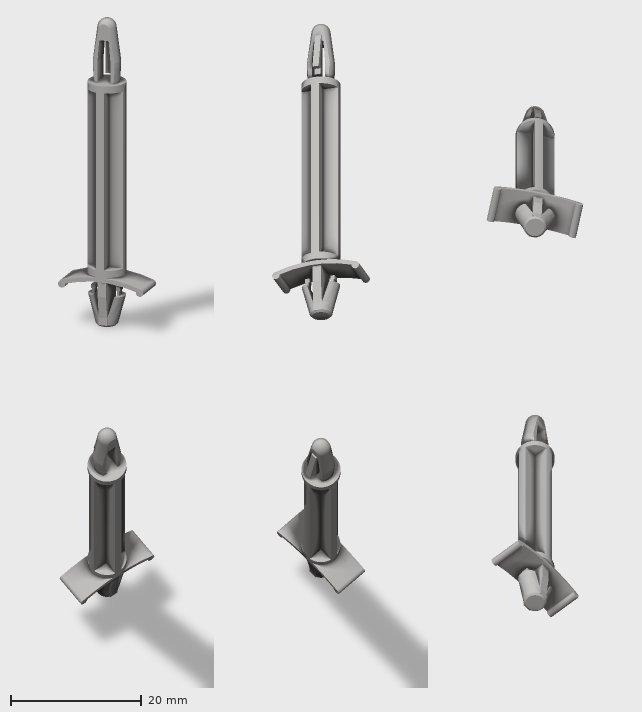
import cadquery as cq
import math

total_height = 49.5
collar_top = 39.3
body_bottom = 8.4
collar_height = 1.15

body_diameter = 6.0
rib_thickness = 1.3

plate_length = 14.0
plate_width = 5.5
plate_thickness = 0.7
plate_apex = 8.25
plate_radius = 19.8
bead_radius = 0.6
neck_diameter = 4.15

anchor_radius = 1.75
anchor_chamfer = 0.3
stem_thickness = 1.4
stem_half_width = 2.2
stem_taper_bottom = 1.55
barb_top = 5.0
barb_reach = 3.0
barb_inner_top = 1.85
tab_width = 1.15
tab_top = 6.4
tab_head_bottom = 5.75
tab_head_inner = 1.7
tab_head_outer = 2.4
tab_neck_outer = 2.25

dome_radius = 1.5
dome_height = 1.25
pin_half_depth = 1.3
pin_max_radius = 2.2
pin_base_radius = 2.05
pin_land_top = 42.7
pin_land_bottom = 41.85
slot_top = 46.15
slot_top_half_width = 0.8
slot_half_width = 1.065
slot_corner_radius = 0.25

latch_thickness = 1.0
latch_top = 47.02
latch_top_depth = 1.55
latch_tip = 41.25
latch_reach = 2.75
latch_bottom = 40.3
latch_foot_depth = 1.85
latch_inner = 0.75
latch_fillet_bottom = 44.95


def cylinder(radius, bottom, top):
    return cq.Workplane("XY").workplane(offset=bottom).circle(radius).extrude(top - bottom)


def box(x_size, y_size, bottom, top):
    return cq.Workplane("XY").workplane(offset=bottom).rect(x_size, y_size).extrude(top - bottom)


def make_body():
    """Round post reduced to a cross of ribs between two collars."""
    radius = body_diameter / 2
    ribs_along_x = box(body_diameter, rib_thickness, body_bottom, collar_top)
    ribs_along_y = box(rib_thickness, body_diameter, body_bottom, collar_top)
    post = cylinder(radius, body_bottom, collar_top).intersect(ribs_along_x.union(ribs_along_y))
    for bottom in (body_bottom, collar_top - collar_height):
        post = post.union(cylinder(radius, bottom, bottom + collar_height))
    return post


def make_plate():
    """Arched plate with a round bead along each end, and the neck above it."""
    center_z = plate_apex - plate_radius
    inner_radius = plate_radius - plate_thickness
    bead_x = plate_length / 2 - bead_radius
    end_angle = math.asin(bead_x / (plate_radius - bead_radius))

    def arc_point(radius, angle):
        return (radius * math.sin(angle), center_z + radius * math.cos(angle))

    plate = (
        cq.Workplane("XZ")
        .moveTo(*arc_point(plate_radius, -end_angle))
        .threePointArc((0, plate_apex), arc_point(plate_radius, end_angle))
        .lineTo(*arc_point(inner_radius, end_angle))
        .threePointArc((0, plate_apex - plate_thickness), arc_point(inner_radius, -end_angle))
        .close()
        .extrude(plate_width / 2, both=True)
    )
    for side in (-1, 1):
        bead_center = arc_point(plate_radius - bead_radius, side * end_angle)
        bead = cq.Workplane("XZ").center(*bead_center).circle(bead_radius)
        plate = plate.union(bead.extrude(plate_width / 2, both=True))
    neck = cylinder(neck_diameter / 2, plate_apex - plate_thickness / 2, body_bottom)
    return plate.union(neck)


def make_barb():
    """Slanted round barb on the +X side, with its spring tab."""
    slant = barb_reach - anchor_radius
    slanted_cylinder = (
        cq.Workplane("XY").workplane(offset=anchor_chamfer).circle(anchor_radius)
        .workplane(offset=barb_top - anchor_chamfer).center(slant, 0).circle(anchor_radius)
        .loft(ruled=True)
    )
    outer_side = (
        cq.Workplane("XZ")
        .polyline([
            (0, 0),
            (body_diameter, 0),
            (body_diameter, barb_top),
            (barb_inner_top, barb_top),
            (stem_thickness / 2, stem_taper_bottom),
            (0, stem_taper_bottom),
        ])
        .close()
        .extrude(stem_half_width, both=True)
    )
    tab_root = barb_top - 2 * anchor_chamfer
    tab = (
        cq.Workplane("XZ")
        .polyline([
            (barb_inner_top, tab_root),
            (tab_neck_outer, tab_root),
            (tab_neck_outer, tab_head_bottom),
            (tab_head_outer, tab_head_bottom),
            (tab_head_outer, tab_top),
            (tab_head_inner, tab_top),
            (tab_head_inner, tab_head_bottom),
            (barb_inner_top, tab_head_bottom),
        ])
        .close()
        .extrude(tab_width / 2, both=True)
    )
    return slanted_cylinder.intersect(outer_side).union(tab)


def make_anchor():
    """Flat tapering stem between two mirrored barbs."""
    stem = (
        cq.Workplane("YZ")
        .polyline([
            (-anchor_radius, anchor_chamfer),
            (anchor_radius, anchor_chamfer),
            (anchor_radius, stem_taper_bottom),
            (stem_half_width, barb_top),
            (stem_half_width, plate_apex - plate_thickness / 2),
            (-stem_half_width, plate_apex - plate_thickness / 2),
            (-stem_half_width, barb_top),
            (-anchor_radius, stem_taper_bottom),
        ])
        .close()
        .extrude(stem_thickness / 2, both=True)
    )
    foot = cq.Workplane(cq.Solid.makeCone(anchor_radius - anchor_chamfer, anchor_radius, anchor_chamfer))
    barb = make_barb()
    return stem.union(foot).union(barb).union(barb.mirror("YZ"))


def make_pin():
    """Domed, bulging round pin with flat front and back and a slot through it."""
    dome_base = total_height - dome_height
    dome_center = total_height - dome_radius
    dome_base_radius = math.sqrt(dome_radius**2 - (dome_base - dome_center) ** 2)
    diagonal = dome_radius * math.sqrt(0.5)
    pin = (
        cq.Workplane("XZ")
        .moveTo(0, collar_top)
        .lineTo(pin_base_radius, collar_top)
        .lineTo(pin_max_radius, pin_land_bottom)
        .lineTo(pin_max_radius, pin_land_top)
        .lineTo(dome_base_radius, dome_base)
        .threePointArc((diagonal, dome_center + diagonal), (0, total_height))
        .close()
        .revolve(360, (0, 0), (0, 1))
    )
    pin = pin.intersect(box(2 * pin_max_radius, 2 * pin_half_depth, collar_top, total_height))
    slot = (
        cq.Workplane("XZ")
        .polyline([
            (-slot_half_width, collar_top),
            (slot_half_width, collar_top),
            (slot_half_width, pin_land_top),
            (slot_top_half_width, slot_top),
            (-slot_top_half_width, slot_top),
            (-slot_half_width, pin_land_top),
        ])
        .close()
        .extrude(pin_half_depth, both=True)
        .edges("|Y and (>Z or <Z)")
        .fillet(slot_corner_radius)
    )
    return pin.cut(slot)


def make_latch():
    """Wedge latch on the back of the pin, filleted into the slot top and stepped at its lower end."""
    root_radius = slot_top - latch_fillet_bottom
    root_inner = latch_inner - root_radius
    diagonal = root_radius * math.sqrt(0.5)
    return (
        cq.Workplane("YZ")
        .moveTo(root_inner, latch_top)
        .lineTo(latch_top_depth, latch_top)
        .lineTo(latch_reach, latch_tip)
        .lineTo(latch_foot_depth, latch_tip)
        .lineTo(latch_foot_depth, latch_bottom)
        .lineTo(latch_inner, latch_bottom)
        .lineTo(latch_inner, latch_fillet_bottom)
        .threePointArc((root_inner + diagonal, latch_fillet_bottom + diagonal), (root_inner, slot_top))
        .close()
        .extrude(latch_thickness / 2, both=True)
    )


result = make_body().union(make_plate()).union(make_anchor()).union(make_pin()).union(make_latch())